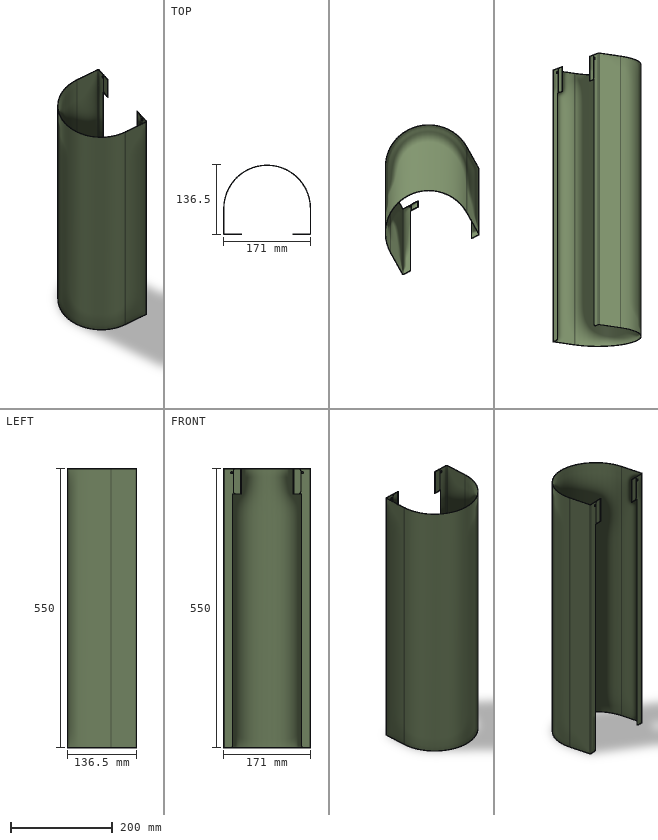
import cadquery as cq
width = 171.0
depth = 136.5
height = 550.0
sheet = 0.45
bend_radius = 1.5

flange_width = 17.5
flange_corner_radius = 5.0
tongue_width = 34.5
tongue_height = 50.0
strip_start = 19.0
strip_setback = 1.5
strip_corner_radius = 5.0
hole_diameter = 4.0
hole_inset = 16.0
hole_drop = 8.0

arch_radius = width / 2
front_y = arch_radius - depth
tongue_bottom = height - tongue_height
outer_x = -arch_radius


def channel_section(offset):
    """Closed arch with straight legs, set inward by offset."""
    radius = arch_radius - offset
    front = front_y + offset
    corner = bend_radius - offset
    outline = (
        cq.Workplane("XY")
        .moveTo(-radius, front)
        .lineTo(-radius, 0)
        .threePointArc((0, radius), (radius, 0))
        .lineTo(radius, front)
        .close()
        .extrude(height)
    )
    return outline.edges("|Z and <Y").fillet(corner)


def make_shell():
    """Bent sheet with an open front between the two narrow flanges."""
    shell = channel_section(0).cut(channel_section(sheet))
    opening_width = width - 2 * flange_width
    opening = (
        cq.Workplane("XY")
        .box(opening_width, 2 * bend_radius, height, centered=(True, True, False))
        .translate((0, front_y, 0))
    )
    shell = shell.cut(opening)
    for side in (-1, 1):
        edge_x = side * (arch_radius - flange_width)
        corner = cq.selectors.NearestToPointSelector((edge_x, front_y + sheet / 2, 0))
        shell = shell.edges("|Y").edges(corner).fillet(flange_corner_radius)
    return shell


def make_left_tongue():
    """Wider top of the left flange, doubled by a strip on its inner face."""
    front_length = tongue_width - bend_radius
    front_leaf = (
        cq.Workplane("XY")
        .box(front_length, sheet, tongue_height, centered=False)
        .translate((outer_x + bend_radius, front_y, tongue_bottom))
    )
    strip_width = tongue_width - strip_setback - strip_start
    strip = (
        cq.Workplane("XY")
        .box(strip_width, sheet, tongue_height, centered=False)
        .edges("|Y and <X")
        .fillet(strip_corner_radius)
        .translate((outer_x + strip_start, front_y + sheet, tongue_bottom))
    )
    return front_leaf.union(strip)


def make_left_hole():
    """Cutter for the round hole near the top of the flange."""
    return (
        cq.Workplane("XZ", origin=(outer_x + hole_inset, front_y, height - hole_drop))
        .circle(hole_diameter / 2)
        .extrude(2 * bend_radius, both=True)
    )


left_tongue = make_left_tongue()
left_hole = make_left_hole()
result = make_shell().union(left_tongue).union(left_tongue.mirror("YZ"))
result = result.cut(left_hole).cut(left_hole.mirror("YZ"))